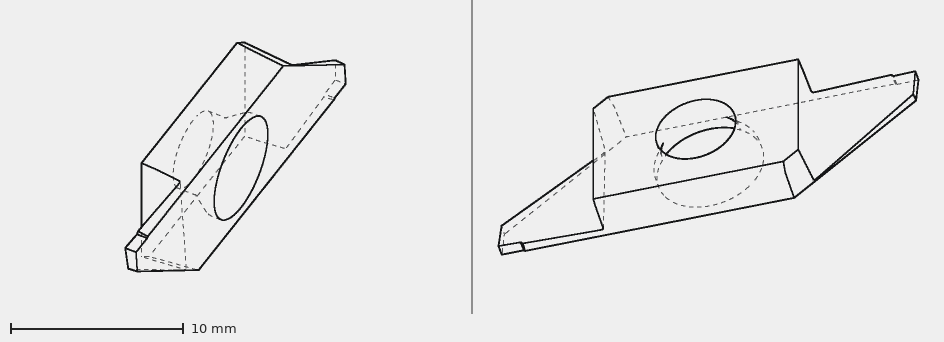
import cadquery as cq
import math

thickness = 3.18
length = 25.02
height = 8.3

land_width = 0.9
relief_angle = 5
block_half_length = 6.15
block_end_angle = 2

bore_diameter = 4.8
bore_depth = 1.28
seat_diameter = 6.4
seat_start = 2.45
seat_blend_radius = 0.33

flank_angle = 40
flank_corner_z = -3.4
flank_rise_per_x = 0.12

tip_z = 3.88
tip_land_length = 1.33
tip_land_ramp_angle = 45
tip_end_angle = 5
wing_tip_thickness = 0.73
wing_side_angle_y = 2
wing_side_angle_z = 3.5
root_radius = 0.13
root_strip_end = 6.63

margin = 2.5
half_length = length / 2
half_height = height / 2


def slope(angle):
    return math.tan(math.radians(angle))


def polygon_along_x(points):
    """Prism through the full thickness from (y, z) points."""
    return cq.Workplane("YZ").polyline(points).close().extrude(thickness)


def half_space(point, outward):
    """Large box on the outward side of a plane."""
    size = 4 * length
    plane = cq.Plane(origin=point, normal=outward)
    return cq.Workplane(plane).rect(size, size).extrude(size)


def relieved_bar():
    """Full-length bar with a flat land and relieved top and bottom."""
    rear_half_height = half_height - (thickness - land_width) * slope(relief_angle)
    return (
        cq.Workplane("XZ")
        .polyline([
            (0, -half_height),
            (land_width, -half_height),
            (thickness, -rear_half_height),
            (thickness, rear_half_height),
            (land_width, half_height),
            (0, half_height),
        ])
        .close()
        .extrude(half_length, both=True)
    )


def flank_cut():
    """Material below the sloping flank of the -Y wing."""
    return half_space(
        (0, -block_half_length, flank_corner_z),
        (flank_rise_per_x, -slope(flank_angle), -1),
    )


def tip_end_cut():
    """Material beyond the leaning end face of the -Y wing."""
    return half_space((0, -half_length, tip_z), (0, -1, -slope(tip_end_angle)))


def tip_land_cut():
    """Material above the flat cutting land and its short ramp."""
    land_end = -half_length + tip_land_length
    ramp_end = land_end + margin / slope(tip_land_ramp_angle)
    return polygon_along_x([
        (-half_length - margin, tip_z),
        (land_end, tip_z),
        (ramp_end, tip_z + margin),
        (-half_length - margin, tip_z + margin),
    ])


def wing_side_cut():
    """Space in front of the -Y wing, rounded where it meets the block end."""
    beyond_end = half_space((0, -block_half_length, 0), (-slope(block_end_angle), -1, 0))
    tip_x = thickness - wing_tip_thickness
    strip_x = tip_x + (half_length - root_strip_end) * slope(wing_side_angle_y)
    fall = -slope(wing_side_angle_z)
    side = half_space((tip_x, -half_length, tip_z), (-1, slope(wing_side_angle_y), fall))
    strip = half_space((strip_x, -root_strip_end, tip_z), (-1, 0, fall))
    space = (
        cq.Workplane("XY")
        .box(2 * length, 2 * length, 2 * length)
        .intersect(beyond_end)
        .intersect(side)
        .intersect(strip)
    )
    root_edge = cq.selectors.BoxSelector(
        (0, -root_strip_end, -margin),
        (thickness, -block_half_length, margin),
    )
    return space.edges(root_edge).fillet(root_radius)


def screw_hole():
    """Revolved hole about the X axis with blended cone edges."""
    bore_radius = bore_diameter / 2
    seat_radius = seat_diameter / 2
    hole = (
        cq.Workplane("XY")
        .polyline([
            (0, 0),
            (0, bore_radius),
            (bore_depth, bore_radius),
            (seat_start, seat_radius),
            (thickness, seat_radius),
            (thickness, 0),
        ])
        .close()
        .revolve(360, (0, 0, 0), (1, 0, 0))
    )
    cone_edges = cq.selectors.BoxSelector(
        (bore_depth / 2, -half_height, -half_height),
        ((seat_start + thickness) / 2, half_height, half_height),
    )
    return hole.edges("%CIRCLE").edges(cone_edges).fillet(seat_blend_radius)


result = relieved_bar()
wing_cuts = [flank_cut(), tip_end_cut(), tip_land_cut(), wing_side_cut()]
for turn in (0, 180):
    for cut in wing_cuts:
        result = result.cut(cut.rotate((0, 0, 0), (1, 0, 0), turn))

result = result.cut(screw_hole())